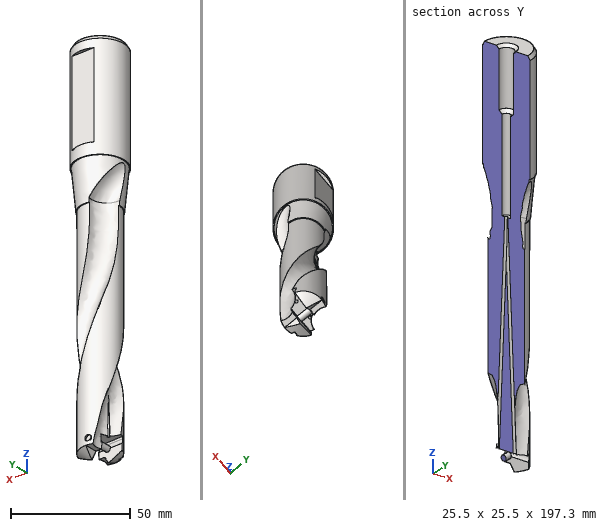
import cadquery as cq
import math

TOTAL_LENGTH = 197.3
SHANK_BOTTOM = 140.0
NECK_BOTTOM = 119.0
CONE_EDGE_Z = 3.4

SHANK_RADIUS = 25.5 / 2
NECK_TOP_RADIUS = 12.2
NECK_BOTTOM_RADIUS = 10.3
BODY_RADIUS = 9.9
SHANK_CHAMFER_WIDTH = 1.2
SHANK_CHAMFER_HEIGHT = 2.0

FLAT_Y = 11.2
FLAT_BOTTOM = 146.0
FLAT_TOP = 191.0

BORE_RADIUS = 3.7
BORE_DEPTH = 29.6
COUNTERSINK_RADIUS = 5.1
SUPPLY_RADIUS = 2.2
SUPPLY_BOTTOM = NECK_BOTTOM
OUTLET_RADIUS = 0.7
OUTLET_END_X = 4.5
OUTLET_END_Z = 9.9

CORE_RADIUS = 4.5
CUTTER_RADIUS_TIP = 6.3
CUTTER_RADIUS_NECK = 7.9
FLUTE_SIDE_LENGTH = 7.9
FLUTE_START = -2.0
FLUTE_END = 121.2
FLUTE_STEPS = 20
TIP_TWIST_END = 22.3
EASE_START = 77.0
EASE_END = 112.5
TIP_TWIST = 1.318
HELIX_TWIST = 2.078
ANGLE_AT_TIP_TWIST_END = 172.0
RUNOUT_TOP = 139.0
RUNOUT_STEPS = 4
RUNOUT_TWIST = 2.331

SLOT_HALF_WIDTH = 3.2
SLOT_ROOT_HALF_WIDTH = 3.7
SLOT_TOP = 10.3
SLOT_ROOT_BOTTOM = 9.0
SLOT_NARROW_TOP = 6.7
SLOT_WALL_BULGE = 0.15

GASH_TIP_X = -1.8
GASH_TOP_X = 0.4

CONE_TIP_RADIUS = math.hypot(GASH_TIP_X, SLOT_HALF_WIDTH)

PIN_RADIUS = 1.48
PIN_X = -1.4
PIN_Z = 6.7
PIN_HALF_LENGTH = 9.0

NOTCH_LEFT = -5.5
NOTCH_RIGHT = -3.5
NOTCH_TOP = 7.9
NOTCH_FLOOR_Y = 7.9

CLEARANCE = 4.0
AXIS_START = (0, 0, 0)
AXIS_END = (0, 0, 1)


def make_turned_blank():
    """Shank, tapered neck, fluted cylinder and tip cone, turned about Z."""
    shank_top_radius = SHANK_RADIUS - SHANK_CHAMFER_WIDTH
    outline = [
        (0, 0),
        (CONE_TIP_RADIUS, 0),
        (BODY_RADIUS, CONE_EDGE_Z),
        (BODY_RADIUS, NECK_BOTTOM),
        (NECK_BOTTOM_RADIUS, NECK_BOTTOM),
        (NECK_TOP_RADIUS, SHANK_BOTTOM),
        (SHANK_RADIUS, SHANK_BOTTOM),
        (SHANK_RADIUS, TOTAL_LENGTH - SHANK_CHAMFER_HEIGHT),
        (shank_top_radius, TOTAL_LENGTH),
        (0, TOTAL_LENGTH),
    ]
    return cq.Workplane("XZ").polyline(outline).close().revolve(360, (0, 0), (0, 1))


def make_clamping_flat():
    """Block that cuts the flat on the +Y side of the shank."""
    return cq.Workplane("XY").box(
        2 * SHANK_RADIUS, CLEARANCE, FLAT_TOP - FLAT_BOTTOM, centered=(True, False, False)
    ).translate((0, FLAT_Y, FLAT_BOTTOM))


def make_coolant_supply():
    """Countersunk bore with a drill-point floor, then a narrow axial hole."""
    countersink_depth = COUNTERSINK_RADIUS - BORE_RADIUS
    bore_floor = TOTAL_LENGTH - BORE_DEPTH
    cone_height = BORE_RADIUS - SUPPLY_RADIUS
    outline = [
        (0, SUPPLY_BOTTOM),
        (SUPPLY_RADIUS, SUPPLY_BOTTOM),
        (SUPPLY_RADIUS, bore_floor - cone_height),
        (BORE_RADIUS, bore_floor),
        (BORE_RADIUS, TOTAL_LENGTH - countersink_depth),
        (COUNTERSINK_RADIUS, TOTAL_LENGTH),
        (0, TOTAL_LENGTH),
    ]
    return cq.Workplane("XZ").polyline(outline).close().revolve(360, (0, 0), (0, 1))


def make_coolant_outlet():
    """Thin hole that slopes from the supply to the floor of the -X flute."""
    run = cq.Vector(-OUTLET_END_X, 0, OUTLET_END_Z - SUPPLY_BOTTOM)
    start = cq.Vector(0, 0, SUPPLY_BOTTOM)
    return cq.Workplane(cq.Solid.makeCylinder(OUTLET_RADIUS, run.Length, start, run))


def flute_angle(z):
    """Direction, in degrees about Z, in which the flute opens at height z."""
    if z < TIP_TWIST_END:
        return ANGLE_AT_TIP_TWIST_END - TIP_TWIST * (TIP_TWIST_END - z)
    eased = min(max(z - EASE_START, 0), EASE_END - EASE_START)
    full_twist_length = min(z, EASE_START) - TIP_TWIST_END
    eased_length = eased - eased**2 / (2 * (EASE_END - EASE_START))
    return ANGLE_AT_TIP_TWIST_END + HELIX_TWIST * (full_twist_length + eased_length)


def flute_section(z, angle, floor_radius, cutter_radius):
    """U-shaped wire at height z: half-round floor, straight sides, open side outside the stock."""
    side_start = floor_radius + cutter_radius
    side_end = side_start + FLUTE_SIDE_LENGTH
    outline = (
        cq.Workplane("XY", origin=(0, 0, z))
        .moveTo(side_start, -cutter_radius)
        .threePointArc((floor_radius, 0), (side_start, cutter_radius))
        .lineTo(side_end, cutter_radius)
        .lineTo(side_end, -cutter_radius)
        .close()
    )
    return outline.val().rotate(cq.Vector(*AXIS_START), cq.Vector(*AXIS_END), angle)


def make_flute():
    """Twisted groove from the tip to the neck."""
    sections = []
    for step in range(FLUTE_STEPS + 1):
        share = step / FLUTE_STEPS
        z = FLUTE_START + share * (FLUTE_END - FLUTE_START)
        cutter_radius = CUTTER_RADIUS_TIP + share * (CUTTER_RADIUS_NECK - CUTTER_RADIUS_TIP)
        sections.append(flute_section(z, flute_angle(z), CORE_RADIUS, cutter_radius))
    return cq.Workplane(cq.Solid.makeLoft(sections))


def make_flute_runout():
    """Upper end of the flute, where the cutter climbs out through the neck."""
    sections = []
    for step in range(RUNOUT_STEPS + 1):
        share = step / RUNOUT_STEPS
        climb = share * (RUNOUT_TOP - FLUTE_END)
        angle = flute_angle(FLUTE_END) + RUNOUT_TWIST * climb
        floor_radius = CORE_RADIUS + share * (NECK_TOP_RADIUS - CORE_RADIUS)
        sections.append(flute_section(FLUTE_END + climb, angle, floor_radius, CUTTER_RADIUS_NECK))
    return cq.Workplane(cq.Solid.makeLoft(sections))


def make_insert_slot():
    """Slot along X through the tip; arcs blend its walls into the wider root."""
    half_length = BODY_RADIUS + CLEARANCE
    blend_y = (SLOT_HALF_WIDTH + SLOT_ROOT_HALF_WIDTH) / 2 + SLOT_WALL_BULGE
    blend_z = (SLOT_ROOT_BOTTOM + SLOT_NARROW_TOP) / 2
    return (
        cq.Workplane("YZ")
        .moveTo(-SLOT_HALF_WIDTH, -CLEARANCE)
        .lineTo(SLOT_HALF_WIDTH, -CLEARANCE)
        .lineTo(SLOT_HALF_WIDTH, SLOT_NARROW_TOP)
        .threePointArc((blend_y, blend_z), (SLOT_ROOT_HALF_WIDTH, SLOT_ROOT_BOTTOM))
        .lineTo(SLOT_ROOT_HALF_WIDTH, SLOT_TOP)
        .lineTo(-SLOT_ROOT_HALF_WIDTH, SLOT_TOP)
        .lineTo(-SLOT_ROOT_HALF_WIDTH, SLOT_ROOT_BOTTOM)
        .threePointArc((-blend_y, blend_z), (-SLOT_HALF_WIDTH, SLOT_NARROW_TOP))
        .close()
        .extrude(2 * half_length)
        .translate((-half_length, 0, 0))
    )


def make_gash():
    """Wedge that relieves the -Y jaw beside its lowest point."""
    far_x = BODY_RADIUS + CLEARANCE
    outline = [
        (GASH_TIP_X, 0),
        (GASH_TOP_X, CONE_EDGE_Z),
        (far_x, CONE_EDGE_Z),
        (far_x, -CLEARANCE),
        (GASH_TIP_X, -CLEARANCE),
    ]
    return cq.Workplane("XZ").polyline(outline).close().extrude(BODY_RADIUS + CLEARANCE)


def make_notch():
    """Shallow notch in the outside of the -Y jaw, open at the tip."""
    return cq.Workplane("XY").box(
        NOTCH_RIGHT - NOTCH_LEFT, CLEARANCE, NOTCH_TOP + CLEARANCE, centered=False
    ).translate((NOTCH_LEFT, -NOTCH_FLOOR_Y - CLEARANCE, -CLEARANCE))


def make_pin_cylinder(half_length):
    """Cylinder on the pin axis, parallel to Y and centred on the slot."""
    return (
        cq.Workplane("XZ")
        .center(PIN_X, PIN_Z)
        .circle(PIN_RADIUS)
        .extrude(2 * half_length)
        .translate((0, half_length, 0))
    )


def make_holder():
    """Drill holder; features of the two cutting sides repeat half a turn apart."""
    holder = make_turned_blank().cut(make_clamping_flat()).cut(make_coolant_supply())
    side_features = [
        make_flute(),
        make_flute_runout(),
        make_coolant_outlet(),
        make_gash(),
    ]
    for turn in (0, 180):
        for feature in side_features:
            holder = holder.cut(feature.rotate(AXIS_START, AXIS_END, turn))
    holder = holder.cut(make_insert_slot()).cut(make_notch())
    return holder.cut(make_pin_cylinder(BODY_RADIUS + CLEARANCE))


holder = make_holder()
pin = make_pin_cylinder(PIN_HALF_LENGTH)

result = cq.Compound.makeCompound([holder.solids().val(), pin.val()])